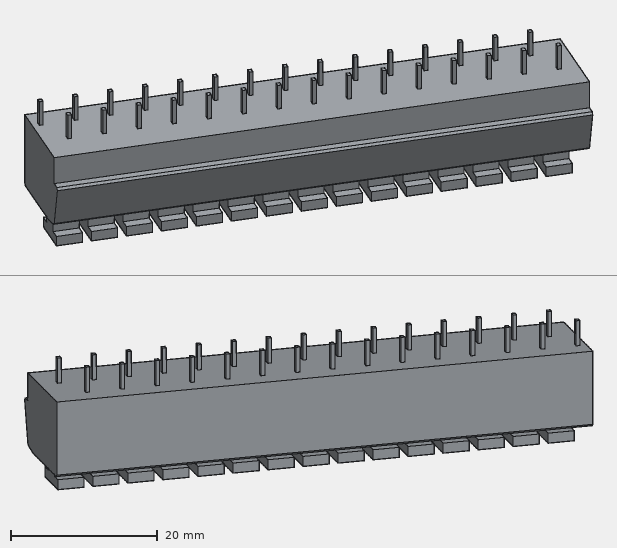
import cadquery as cq

length = 76.5
body_width = 13.55
tip_width = 15.0
body_bottom = 3.75
body_top = 14.5
edge_chamfer = 0.3

ledge_height = 10.55
tip_height = 10.2
tip_setback = 0.2
flank_height = 4.4
slope_end_x = 13.15
slope_end_height = 4.1
slope_start_x = 10.9

pole_count = 15
end_allowance = 1.5
pole_pitch = (length - end_allowance) / pole_count

pin_top = 18.1
pin_size_x = 0.8
pin_size_y = 0.5
first_row_x = 3.3
first_row_y = 1.2
row_spacing = pole_pitch
row_stagger = pole_pitch / 2

foot_center_x = 8.7
foot_width = 6.05
foot_height = 1.45
stem_width = 3.0
foot_length = 3.75
first_foot_y = 2.75


def block(size_x, size_y, bottom, top, center_x, center_y):
    """Upright block centred on a point in plan."""
    return (
        cq.Workplane("XY", origin=(center_x, center_y, bottom))
        .rect(size_x, size_y)
        .extrude(top - bottom)
    )


def housing():
    """Housing profile in XZ, extruded along +Y."""
    outline = [
        (edge_chamfer, body_bottom),
        (slope_start_x, body_bottom),
        (slope_end_x, slope_end_height),
        (body_width, flank_height),
        (tip_width, tip_height),
        (tip_width - tip_setback, ledge_height),
        (body_width, ledge_height),
        (body_width, body_top),
        (0, body_top),
        (0, body_bottom + edge_chamfer),
    ]
    return cq.Workplane("XZ").polyline(outline).close().extrude(-length)


def pin(x, y):
    return block(pin_size_x, pin_size_y, body_top, pin_top, x, y)


def foot(y):
    base = block(foot_width, foot_length, 0, foot_height, foot_center_x, y)
    stem = block(stem_width, foot_length, foot_height, body_bottom, foot_center_x, y)
    return base.union(stem)


result = housing()
for pole in range(pole_count):
    offset = pole * pole_pitch
    pin_y = first_row_y + offset
    result = result.union(pin(first_row_x, pin_y))
    result = result.union(pin(first_row_x + row_spacing, pin_y + row_stagger))
    result = result.union(foot(first_foot_y + offset))